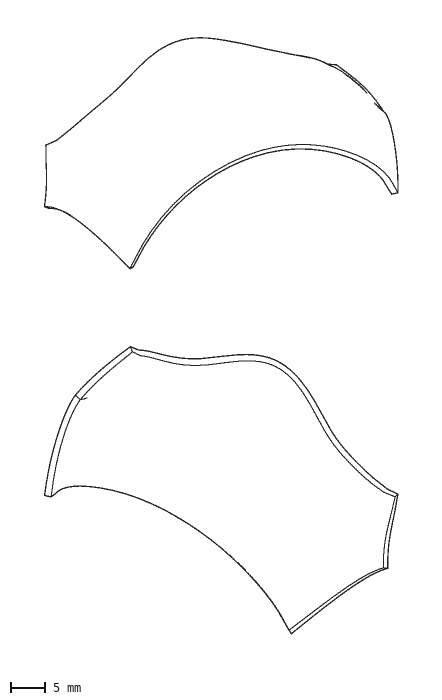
import cadquery as cq

THICKNESS = 1.0
STATIONS = (0.0, 0.3, 0.65, 1.0)
COLUMNS = 23
SEW_TOLERANCE = 0.1

RIDGE = [
    (0, -25.65, -13.85), (0, -24.5, -12.3), (0, -21.1, -9.0), (0, -16.55, -5.5), (0, -11.4, -2.35),
    (0, -5.65, -0.5), (0, 0, 0), (0, 5.65, -0.5), (0, 11.35, -2.05), (0, 17.4, -4.85),
    (0, 20.4, -7.3), (0, 23.95, -11.15), (0, 25.6, -13.7),
]
RIDGE_TIPS = ((0, -26.75, -15.3), (0, 26.75, -15.3))

LEFT_RIM = [
    (-9.4, -20.6, -11.95), (-8.95, -18.4, -10.05), (-8.9, -15.3, -7.9), (-9.6, -12.1, -6.65),
    (-12.25, -6.95, -5.7), (-14.2, -3.15, -5.2), (-15.3, 1.05, -5.05), (-15.25, 3.5, -5.2),
    (-14.35, 6.15, -5.45), (-12.65, 9.0, -5.95), (-10.55, 12.25, -6.8), (-9.4, 15.1, -7.55),
    (-9.15, 18.5, -9.05), (-9.6, 22.1, -11.9),
]
LEFT_TIPS = ((-9.9, -22.05, -12.65), (-9.8, 23.7, -12.7))

RIGHT_RIM = [
    (15.7, -19.75, -16.25), (15.55, -19.05, -15.1), (15.45, -15.75, -10.45), (15.4, -12.0, -7.05),
    (15.35, -6.15, -4.05), (15.35, 0.8, -2.9), (15.35, 7.75, -4.2), (15.4, 14.05, -7.5),
    (15.4, 17.9, -10.75), (15.45, 20.65, -14.45), (15.5, 21.4, -16.15),
]
RIGHT_TIPS = ((15.7, -20.4, -17.5), (15.45, 22.0, -17.5))

LEFT_RISE = ((0, 0.75, 0.85, 0), (0, 1.35, 0.85, 0))
RIGHT_RISE = ((0, 0.65, 0.45, 0), (0, 2.15, 2.05, 0))
LEFT_SWELL = (0, -0.25, -0.1, 0)
RIGHT_SWELL = (0, 0.3, 0.45, 0)


def rail_points(points, tips):
    """Evenly spaced points along a rail, with its two tips added."""
    rail = cq.Edge.makeSpline([cq.Vector(*p) for p in points])
    spaced = [rail.positionAt(i / (COLUMNS - 1)) for i in range(COLUMNS)]
    return [cq.Vector(*tips[0])] + spaced + [cq.Vector(*tips[1])]


def wing_grid(rim, rise, swell):
    """Rows of outer points from the ridge to the rim."""
    rows = []
    last = len(rim) - 1
    for k, station in enumerate(STATIONS):
        row = []
        for i, (start, end) in enumerate(zip(ridge, rim)):
            across = 2 * i / last - 1
            lift = rise[0][k] + (rise[1][k] - rise[0][k]) * across**2
            bow = cq.Vector(0, swell[k] * across**3, lift)
            row.append(start + (end - start) * station + bow)
        rows.append(row)
    return rows


def normals(rows):
    """Upward unit normals of a grid of points, from neighbouring points."""
    found = []
    for k, row in enumerate(rows):
        before = rows[max(k - 1, 0)]
        after = rows[min(k + 1, len(rows) - 1)]
        line = []
        for i in range(len(row)):
            along = row[min(i + 1, len(row) - 1)] - row[max(i - 1, 0)]
            normal = (after[i] - before[i]).cross(along).normalized()
            line.append(normal if normal.z > 0 else normal * -1)
        found.append(line)
    return found


def inner_row(row, row_normals):
    return [point - normal * THICKNESS for point, normal in zip(row, row_normals)]


def strip_edges(row):
    """An end strip, the main span and the other end strip of a section."""
    return [
        cq.Edge.makeLine(row[0], row[1]),
        cq.Edge.makeSpline(row[1:-1]),
        cq.Edge.makeLine(row[-2], row[-1]),
    ]


def smooth_edge(row):
    return [cq.Edge.makeSpline(row)]


def wing_faces(outer_rows, inner_rows, make_edges):
    """Outer, inner and end faces of a wing, and the face closing its rim."""
    loops = []
    for outer, inner in zip(outer_rows, inner_rows):
        ends = [cq.Edge.makeLine(outer[i], inner[i]) for i in (0, -1)]
        edges = make_edges(outer) + [ends[1]] + make_edges(inner)[::-1] + [ends[0]]
        loops.append(cq.Wire.assembleEdges(edges))
    skin = cq.occ_impl.shapes.loft(*loops)
    rim_pairs = zip(make_edges(outer_rows[-1]), make_edges(inner_rows[-1]))
    return skin.Faces() + [cq.Face.makeRuledSurface(outer, inner) for outer, inner in rim_pairs]


ridge = rail_points(RIDGE, RIDGE_TIPS)
left = wing_grid(rail_points(LEFT_RIM, LEFT_TIPS), LEFT_RISE, LEFT_SWELL)
right = wing_grid(rail_points(RIGHT_RIM, RIGHT_TIPS), RIGHT_RISE, RIGHT_SWELL)

left_normals = normals(left)
right_normals = normals(right)
shared = [(a + b).normalized() for a, b in zip(left_normals[0], right_normals[0])]
left_normals[0] = shared
right_normals[0] = shared
left_inner = [inner_row(row, n) for row, n in zip(left, left_normals)]
right_inner = [inner_row(row, n) for row, n in zip(right, right_normals)]

faces = wing_faces(left, left_inner, strip_edges) + wing_faces(right, right_inner, smooth_edge)
shell = cq.occ_impl.shapes.shell(*faces, tol=SEW_TOLERANCE)
result = cq.Workplane(cq.occ_impl.shapes.solid(shell))